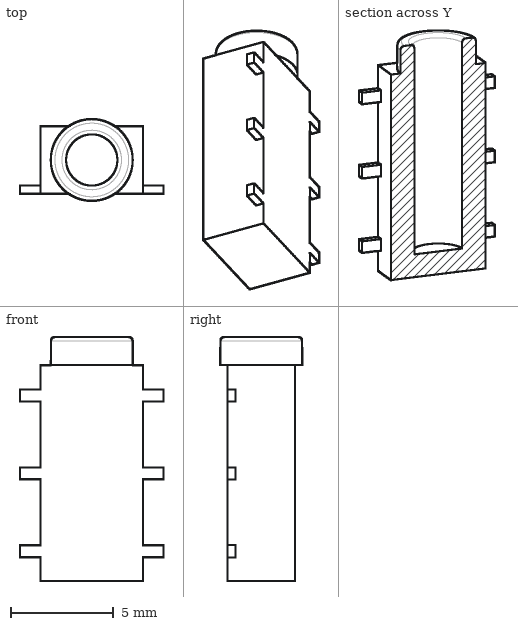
import cadquery as cq

total_height = 11.9
lead_span = 7.0

body_width = 5.0
body_depth = 3.3
collar_height = 1.38
body_height = total_height - collar_height

collar_diameter = 4.0
bore_diameter = 2.5
bore_depth = 10.71
rim_radius = 0.2

lead_height = 0.6
lead_thickness = 0.4
lowest_lead_center = 1.45
lead_pitch = 3.8
leads_per_side = 3


def make_housing():
    return cq.Workplane("XY").box(body_width, body_depth, body_height, centered=(True, True, False))


def make_collar():
    collar = cq.Workplane("XY").workplane(offset=body_height).circle(collar_diameter / 2).extrude(collar_height)
    return collar.faces(">Z").edges().fillet(rim_radius)


def make_lead_bar(center_height):
    """One bar across the housing; its two ends stick out as a pair of leads."""
    bar = cq.Workplane("XY").box(lead_span, lead_thickness, lead_height)
    return bar.translate((0, (lead_thickness - body_depth) / 2, center_height))


def cut_bore(part):
    """Blind socket bore from the collar top, with a rounded mouth."""
    part = part.faces(">Z").workplane(origin=(0, 0, total_height)).hole(bore_diameter, bore_depth)
    mouth = part.faces(">Z").edges(cq.selectors.RadiusNthSelector(0))
    return mouth.fillet(rim_radius)


housing = make_housing().union(make_collar())
for index in range(leads_per_side):
    housing = housing.union(make_lead_bar(lowest_lead_center + index * lead_pitch))

result = cut_bore(housing)